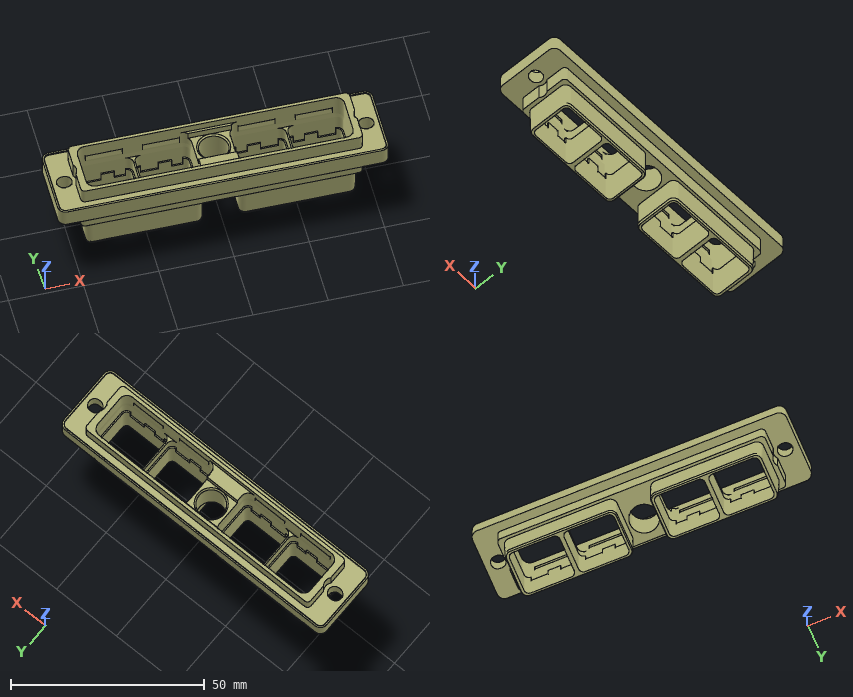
import cadquery as cq

length, depth, height = 87.9, 20.3, 23.0
flange_bottom, flange_top = 14.0, 19.1
flange_radius = 2.1
rim_width, rim_height = 0.5, 0.4

screw_spacing = 80.25
screw_slot_length, screw_slot_width = 4.0, 3.6

collar_length, collar_depth = 74.9, 15.4
collar_bottom = 8.7
collar_radius = 1.1
scallop_radius, scallop_depth = 2.3, 0.5

box_inner, box_outer = 4.75, 36.2
box_depth = 13.8
box_radius = 1.9
box_end_draft = 0.3
box_chamfer, box_chamfer_height = 0.3, 0.8

cavity_inner, cavity_outer = 5.1, 35.5
cavity_depth = 13.45
cavity_radius = 2.3
ledge_top, ledge_bottom = 16.5, 15.3

cell_inner, cell_outer = 5.3, 35.3
cell_depth = 12.9
cell_radius = 1.8
divider = 0.4
cell_length = (cell_outer - cell_inner - divider) / 2
cell_centers = [cell_inner + cell_length / 2, cell_outer - cell_length / 2]

lip = 0.395
lip_top = 11.1
relief_bottom = 8.8
tab_width, tab_shift = 3.5, 0.9

notch_length = 9.85
notch_bottom, notch_top = 17.1, 19.0
notch_depth = 0.5

step_z, seat_z = 20.9, 19.0
seat_front, seat_back = -2.8, 6.1
hole_y = (seat_front + seat_back) / 2
hole_radius, hole_chamfer = 3.95, 0.4


def block(x0, x1, y0, y1, z0, z1):
    """Plain box spanning the given X, Y and Z ranges."""
    return cq.Workplane("XY").box(x1 - x0, y1 - y0, z1 - z0, centered=False).translate((x0, y0, z0))


def rounded_block(x0, x1, size_y, radius, z0, z1):
    """Box centred on Y with rounded vertical edges."""
    return block(x0, x1, -size_y / 2, size_y / 2, z0, z1).edges("|Z").fillet(radius)


def rounded_outline(x0, x1, size_y, radius):
    """Rounded rectangle centred on Y."""
    return cq.Sketch().rect(x1 - x0, size_y).vertices().fillet(radius).moved(
        cq.Location(cq.Vector((x0 + x1) / 2, 0, 0))
    )


def sloped_block(low, z0, high, z1):
    """Solid blending one rounded rectangle into another; each is (x0, x1, size_y, radius)."""
    bottom = rounded_outline(*low)
    top = rounded_outline(*high).moved(cq.Location(cq.Vector(0, 0, z1 - z0)))
    return cq.Workplane("XY", origin=(0, 0, z0)).placeSketch(bottom, top).loft(ruled=True)


def make_flange():
    """Flange plate with its recess and screw slots."""
    plate = rounded_block(-length / 2, length / 2, depth, flange_radius, flange_bottom, flange_top)
    inner = length / 2 - rim_width
    recess = rounded_block(
        -inner, inner, depth - 2 * rim_width, flange_radius - rim_width, flange_top - rim_height, flange_top
    )
    slots = (
        cq.Workplane("XY", origin=(0, 0, flange_bottom))
        .pushPoints([(-screw_spacing / 2, 0), (screw_spacing / 2, 0)])
        .slot2D(screw_slot_length, screw_slot_width)
        .extrude(flange_top - flange_bottom)
    )
    return plate.cut(recess).cut(slots)


def make_collar():
    """Full-height collar with a scallop at each end."""
    collar = rounded_block(
        -collar_length / 2, collar_length / 2, collar_depth, collar_radius, collar_bottom, height
    )
    scallop_x = collar_length / 2 - scallop_depth + scallop_radius
    scallops = (
        cq.Workplane("XY", origin=(0, 0, collar_bottom))
        .pushPoints([(-scallop_x, 0), (scallop_x, 0)])
        .circle(scallop_radius)
        .extrude(height - collar_bottom)
    )
    return collar.cut(scallops)


def make_box():
    """Box on the +X side, with its drafted end and chamfered foot."""
    top = (box_inner, box_outer, box_depth, box_radius)
    drafted_outer = box_outer - box_end_draft
    middle = (box_inner, drafted_outer, box_depth, box_radius)
    bottom = (
        box_inner + box_chamfer, drafted_outer - box_chamfer, box_depth - 2 * box_chamfer, box_radius - box_chamfer
    )
    foot = sloped_block(bottom, 0, middle, box_chamfer_height)
    return sloped_block(middle, box_chamfer_height, top, collar_bottom).union(foot)


def make_cavity():
    """Upper cavity on the +X side and the ledge that narrows it down to the cells."""
    wide = (cavity_inner, cavity_outer, cavity_depth, cavity_radius)
    narrow = (cell_inner, cell_outer, cell_depth, cell_radius)
    upper = rounded_block(*wide, ledge_top, height)
    return upper.union(sloped_block(narrow, ledge_bottom, wide, ledge_top))


def make_cell(center_x):
    """Cell open at the bottom, with its lip, reliefs and tabs."""
    x0, x1 = center_x - cell_length / 2, center_x + cell_length / 2
    cell = rounded_block(x0, x1, cell_depth, cell_radius, lip_top, ledge_bottom)
    foot = rounded_block(x0 + lip, x1 - lip, cell_depth - 2 * lip, cell_radius - lip, 0, lip_top)
    cell = cell.union(foot)
    tab_x = center_x - tab_shift
    spans = [
        (x0 + cell_radius, tab_x - tab_width / 2),
        (tab_x + tab_width / 2, x1 - cell_radius),
    ]
    for start, end in spans:
        cell = cell.union(block(start, end, -cell_depth / 2, cell_depth / 2, relief_bottom, lip_top))
    return cell


def make_notches(center_x):
    """Pair of wedge notches, deepest at the top, in the front and back walls."""
    wall_y = cavity_depth / 2
    notch = (
        cq.Workplane("YZ", origin=(center_x - notch_length / 2, 0, 0))
        .polyline([(0, notch_bottom), (wall_y, notch_bottom), (wall_y + notch_depth, notch_top), (0, notch_top)])
        .close()
        .extrude(notch_length)
    )
    return notch.union(notch.mirror("XZ"))


def make_middle_cut():
    """Space above the middle block, its sunken seat and the round hole."""
    reach = cavity_inner + cavity_radius
    above = block(-reach, reach, -cavity_depth / 2, cavity_depth / 2, step_z, height)
    seat = block(-reach, reach, seat_front, seat_back, seat_z, step_z)
    hole = (
        cq.Workplane("XY", origin=(0, hole_y, collar_bottom))
        .circle(hole_radius)
        .extrude(seat_z - collar_bottom)
    )
    countersink = cq.Workplane(
        cq.Solid.makeCone(
            hole_radius, hole_radius + hole_chamfer, hole_chamfer, pnt=(0, hole_y, seat_z - hole_chamfer)
        )
    )
    return above.union(seat).union(hole).union(countersink)


half_cuts = make_cavity()
for cell_x in cell_centers:
    half_cuts = half_cuts.union(make_cell(cell_x)).union(make_notches(cell_x))

box = make_box()
result = make_flange().union(make_collar()).union(box).union(box.mirror("YZ"))
result = result.cut(half_cuts).cut(half_cuts.mirror("YZ")).cut(make_middle_cut())